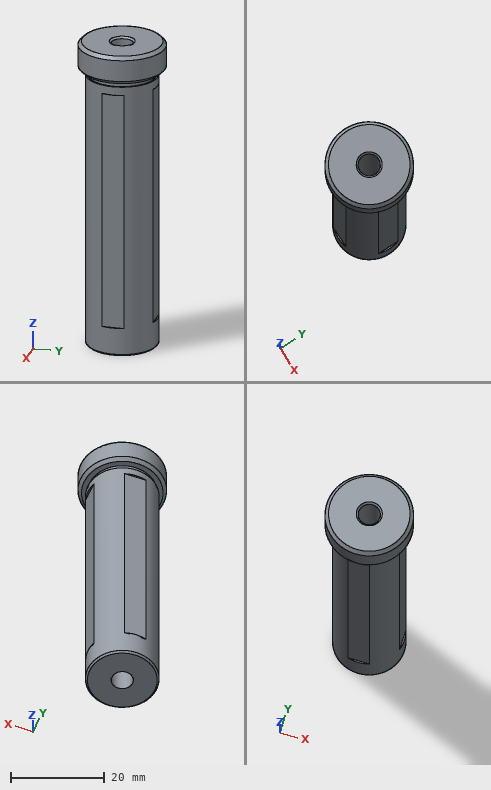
import cadquery as cq

total_height = 69.85
head_diameter = 19.1
head_height = 6.35
head_chamfer = 0.8

shank_diameter = 15.85
shank_end_chamfer = 0.4
shank_height = total_height - head_height

groove_diameter = 15.1
groove_height = 1.2

flat_count = 4
across_flats = 15.1
flat_bottom = 6.4
flat_top = 60.35

bore_diameter = 4.75
bore_chamfer = 0.4


def make_shank():
    shank = cq.Workplane("XY").circle(shank_diameter / 2).extrude(shank_height)
    return shank.faces("<Z").edges().chamfer(shank_end_chamfer)


def make_head():
    head = cq.Workplane("XY").workplane(offset=shank_height)
    head = head.circle(head_diameter / 2).extrude(head_height)
    return head.edges().chamfer(head_chamfer)


def make_groove_cutter():
    ring = cq.Workplane("XY").workplane(offset=shank_height - groove_height)
    return ring.circle(shank_diameter / 2).circle(groove_diameter / 2).extrude(groove_height)


def make_flat_cutter(angle):
    """Block lying outside one flat, turned about the pin axis."""
    block_depth = shank_diameter - across_flats
    block = cq.Workplane("XY").box(
        block_depth, shank_diameter, flat_top - flat_bottom, centered=(False, True, False)
    )
    block = block.translate((across_flats / 2, 0, flat_bottom))
    return block.rotate((0, 0, 0), (0, 0, 1), angle)


pin = make_shank().cut(make_groove_cutter())
for index in range(flat_count):
    pin = pin.cut(make_flat_cutter(index * 360 / flat_count))
pin = pin.union(make_head())

pin = pin.faces(">Z").workplane(origin=(0, 0, total_height)).hole(bore_diameter)
countersink = (
    cq.Workplane("XY")
    .workplane(offset=total_height)
    .circle(bore_diameter / 2 + bore_chamfer)
    .workplane(offset=-bore_chamfer)
    .circle(bore_diameter / 2)
    .loft(combine=True)
)

result = pin.cut(countersink)